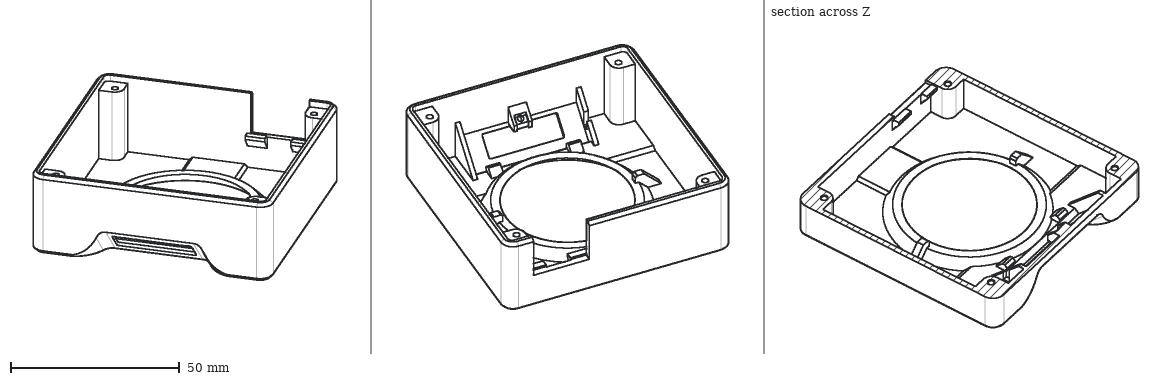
import cadquery as cq
import math

SIDE = 74.0
HEIGHT = 25.5
CORNER_RADIUS = 4.0
EDGE_CHAMFER = 1.0
WALL = 2.0
FLOOR = 1.0
CAVITY_RADIUS = 1.5
HALF = SIDE / 2
INNER_HALF = HALF - WALL

RAISED_FLOOR = 2.0
STEP_TOP_Y = -15.2
STEP_FOOT_Y = -13.8
PAD_TOP_HALF = 8.0
PAD_FOOT_HALF = 9.0

OPENING_RADIUS = 20.0
RING_TOP = 4.0
RING_TOP_RADIUS = 22.8
RING_FOOT_RADIUS = RING_TOP_RADIUS + RING_TOP - FLOOR

POST_SIZE = 6.95
POST_RADIUS = 2.95
POST_DROP = 2.0
POST_TOP = HEIGHT - POST_DROP
SCREW_OFFSET = 30.8
SCREW_DIAMETER = 2.0
SCREW_DEPTH = 11.1

SCOOP_HEIGHT = 6.95
SCOOP_FLAT_HALF = 13.55
SCOOP_SHOULDER = (15.5, 6.45)
SCOOP_BEND = (16.5, 5.3)
SCOOP_FLARE = (19.3, 2.5)
SCOOP_END = (24.0, EDGE_CHAMFER / math.sqrt(2))
SCOOP_LENGTH = 44.4

PANEL_THICKNESS = 1.0
PANEL_TOP = SCOOP_HEIGHT + PANEL_THICKNESS
PANEL_HALF = 19.0
TROUGH_TOP_Y = -24.7
WINDOW_HALF = 12.3
WINDOW_LOW_Z = 2.15
WINDOW_HIGH_Z = 7.6
WINDOW_RADIUS = 0.5

RIB_THICKNESS = 1.5
RIB_END_Y = -22.35
RIB_NOTCH_WIDTH = 2.1
RIB_NOTCH_Y = -28.7
RIB_NOTCH_FLOOR = 4.45

HOLDER_X = 0.3
HOLDER_WIDTH = 5.9
HOLDER_CHEEK = 1.0
HOLDER_END_Y = -30.85
HOLDER_FLOOR_Z = 8.5
HOLDER_END_HEIGHT = 2.2
HOLDER_RECESS_END_Y = -33.0
HOLDER_END_SETBACK = 0.7
HOLDER_RECESS = 1.0
HOLDER_HOLE_DIAMETER = 1.85
HOLDER_HOLE_DEPTH = 2.2
HOLDER_HOLE_Y = -32.55

HOOK_X = 13.1
HOOK_WIDTH = 4.0
HOOK_TOP = 4.3
HOOK_NOSE_Z = 3.3
HOOK_RAMP_Y = -20.95
HOOK_CREST_Y = -23.3
HOOK_EDGE_Y = -24.2
HOOK_NOSE_Y = -25.1

CLIP_WIDTH = 2.2
CLIP_TOP = 6.6
CLIP_NOSE_X = 21.6
CLIP_NOSE_CHAMFER = 0.7
CLIP_CREST_X = 24.5
CLIP_FOOT_X = 30.1

NOTCH_LEFT = 9.9
NOTCH_RIGHT = INNER_HALF - POST_SIZE
NOTCH_FLOOR = 11.8
TAB_SPANS = ((8.9, 15.0), (22.95, NOTCH_RIGHT))
TAB_TOP = 12.35
TAB_HEIGHT = 4.3
TAB_REACH = 2.4
TAB_NOSE = 1.1
TAB_SETBACK = 0.26


def box(x0, x1, y0, y1, z0, z1):
    return cq.Workplane("XY").box(x1 - x0, y1 - y0, z1 - z0, centered=False).translate((x0, y0, z0))


def prism_along_x(points, x0, x1):
    """Extrude a (y, z) outline from x0 to x1."""
    return cq.Workplane("YZ", origin=(x0, 0, 0)).polyline(points).close().extrude(x1 - x0)


def prism_along_y(points, y0, y1):
    """Extrude an (x, z) outline from y0 to y1."""
    return cq.Workplane("XZ", origin=(0, y0, 0)).polyline(points).close().extrude(y0 - y1)


def slope_plane():
    """Plane square to the scoop: local x is X, local y points up and back."""
    return cq.Workplane(cq.Plane(origin=(0, -HALF, 0), xDir=(1, 0, 0), normal=(0, -1, 1)))


def slope_z(y, height):
    """Z of the 45 degree surface lying at a given scoop profile height."""
    return height * math.sqrt(2) - (y + HALF)


TROUGH_FOOT_Y = (slope_z(0, PANEL_TOP) + TROUGH_TOP_Y - RAISED_FLOOR) / 2


def outer_block():
    block = cq.Workplane("XY").rect(SIDE, SIDE).extrude(HEIGHT)
    block = block.edges("|Z").fillet(CORNER_RADIUS)
    return block.faces("<Z or >Z").chamfer(EDGE_CHAMFER)


def cavity():
    inner = cq.Workplane("XY", origin=(0, 0, FLOOR)).rect(2 * INNER_HALF, 2 * INNER_HALF).extrude(HEIGHT)
    return inner.edges("|Z").fillet(CAVITY_RADIUS)


def raised_floor():
    step = [(-INNER_HALF, 0), (STEP_FOOT_Y, 0), (STEP_FOOT_Y, FLOOR), (STEP_TOP_Y, RAISED_FLOOR),
            (-INNER_HALF, RAISED_FLOOR)]
    pad = [(-PAD_FOOT_HALF, FLOOR), (PAD_FOOT_HALF, FLOOR), (PAD_TOP_HALF, RAISED_FLOOR),
           (-PAD_TOP_HALF, RAISED_FLOOR)]
    return prism_along_x(step, -INNER_HALF, INNER_HALF).union(prism_along_y(pad, OPENING_RADIUS, INNER_HALF))


def ring():
    profile = [(0, 0), (RING_FOOT_RADIUS, 0), (RING_FOOT_RADIUS, FLOOR), (RING_TOP_RADIUS, RING_TOP),
               (0, RING_TOP)]
    return cq.Workplane("XZ").polyline(profile).close().revolve(360, (0, 0, 0), (0, 1, 0))


def opening():
    """Cone through the ring, widening downwards at 45 degrees."""
    bottom_radius = OPENING_RADIUS + RING_TOP
    profile = [(0, 0), (bottom_radius, 0), (OPENING_RADIUS, RING_TOP), (0, RING_TOP)]
    return cq.Workplane("XZ").polyline(profile).close().revolve(360, (0, 0, 0), (0, 1, 0))


def post(side_x, side_y):
    inner = INNER_HALF - POST_SIZE
    column = box(inner, INNER_HALF, inner, INNER_HALF, FLOOR, POST_TOP)
    column = column.edges("|Z and <X and <Y").fillet(POST_RADIUS)
    hole = cq.Workplane("XY", origin=(SCREW_OFFSET, SCREW_OFFSET, POST_TOP - SCREW_DEPTH))
    column = column.cut(hole.circle(SCREW_DIAMETER / 2).extrude(SCREW_DEPTH))
    if side_x < 0:
        column = column.mirror("YZ")
    if side_y < 0:
        column = column.mirror("XZ")
    return column


def panel_fill():
    """Solid wedge under the sloping panel and its ribs."""
    front = -INNER_HALF
    panel = [(front, 0), (TROUGH_FOOT_Y, 0), (TROUGH_FOOT_Y, slope_z(TROUGH_FOOT_Y, PANEL_TOP)),
             (front, slope_z(front, PANEL_TOP))]
    rib_rise = RIB_END_Y - front
    rib = [(front, FLOOR), (RIB_END_Y, FLOOR), (RIB_END_Y, RAISED_FLOOR), (front, RAISED_FLOOR + rib_rise)]
    wedge = prism_along_x(panel, -PANEL_HALF, PANEL_HALF)
    for start in (-PANEL_HALF - RIB_THICKNESS, PANEL_HALF):
        wedge = wedge.union(prism_along_x(rib, start, start + RIB_THICKNESS))
    return wedge


def trough():
    """Space above the panel that dips below the raised floor."""
    front = -INNER_HALF
    outline = [(front, slope_z(front, PANEL_TOP)), (TROUGH_FOOT_Y, slope_z(TROUGH_FOOT_Y, PANEL_TOP)),
               (TROUGH_TOP_Y, RAISED_FLOOR), (TROUGH_TOP_Y, HEIGHT), (front, HEIGHT)]
    return prism_along_x(outline, -PANEL_HALF, PANEL_HALF)


def scoop():
    def mirrored(point):
        return (-point[0], point[1])

    profile = (
        slope_plane()
        .moveTo(-SCOOP_FLAT_HALF, SCOOP_HEIGHT)
        .lineTo(SCOOP_FLAT_HALF, SCOOP_HEIGHT)
        .threePointArc(SCOOP_SHOULDER, SCOOP_BEND)
        .threePointArc(SCOOP_FLARE, SCOOP_END)
        .lineTo(SCOOP_END[0], -SCOOP_HEIGHT)
        .lineTo(-SCOOP_END[0], -SCOOP_HEIGHT)
        .lineTo(*mirrored(SCOOP_END))
        .threePointArc(mirrored(SCOOP_FLARE), mirrored(SCOOP_BEND))
        .threePointArc(mirrored(SCOOP_SHOULDER), (-SCOOP_FLAT_HALF, SCOOP_HEIGHT))
        .close()
    )
    return profile.extrude(SCOOP_LENGTH / 2, both=True)


def window():
    """Opening cut square through the sloping panel."""
    center_z = (WINDOW_LOW_Z + WINDOW_HIGH_Z) / 2
    center_y = slope_z(center_z, SCOOP_HEIGHT)
    slope_length = (WINDOW_HIGH_Z - WINDOW_LOW_Z) * math.sqrt(2)
    outline = cq.Sketch().rect(2 * WINDOW_HALF, slope_length).vertices().fillet(WINDOW_RADIUS)
    plane = cq.Plane(origin=(0, center_y, center_z), xDir=(1, 0, 0), normal=(0, 1, 1))
    return cq.Workplane(plane).placeSketch(outline).extrude(PANEL_THICKNESS)


def rib_notch():
    x = -PANEL_HALF
    half = RIB_NOTCH_WIDTH / 2
    return box(x - RIB_THICKNESS, x, RIB_NOTCH_Y - half, RIB_NOTCH_Y + half, RIB_NOTCH_FLOOR, HEIGHT)


def holder_z(y):
    """Z of the holder's 45 degree face."""
    return HOLDER_FLOOR_Z + HOLDER_END_HEIGHT + HOLDER_END_Y - y


def holder():
    """Bracket with a sloping face, recessed between two cheeks."""
    front = -INNER_HALF
    left = HOLDER_X - HOLDER_WIDTH / 2
    right = HOLDER_X + HOLDER_WIDTH / 2
    outline = [(front, HOLDER_FLOOR_Z), (HOLDER_END_Y, HOLDER_FLOOR_Z),
               (HOLDER_END_Y, holder_z(HOLDER_END_Y)), (front, holder_z(front))]
    recess_back = HOLDER_END_Y - HOLDER_END_SETBACK
    recess = [(recess_back, 0), (recess_back, holder_z(recess_back) - HOLDER_RECESS),
              (HOLDER_RECESS_END_Y, holder_z(HOLDER_RECESS_END_Y) - HOLDER_RECESS),
              (HOLDER_RECESS_END_Y, HEIGHT), (0, HEIGHT), (0, 0)]
    cutter = prism_along_x(recess, left + HOLDER_CHEEK, right - HOLDER_CHEEK)
    return prism_along_x(outline, left, right).cut(cutter)


def holder_hole():
    """Blind hole square to the recessed face of the holder."""
    start = (HOLDER_X, HOLDER_HOLE_Y, holder_z(HOLDER_HOLE_Y) - HOLDER_RECESS)
    plane = cq.Plane(origin=start, xDir=(1, 0, 0), normal=(0, -1, -1))
    return cq.Workplane(plane).circle(HOLDER_HOLE_DIAMETER / 2).extrude(HOLDER_HOLE_DEPTH)


def hook(center_x):
    outline = [(HOOK_RAMP_Y, FLOOR), (HOOK_RAMP_Y, RAISED_FLOOR), (HOOK_CREST_Y, HOOK_TOP),
               (HOOK_EDGE_Y, HOOK_TOP), (HOOK_NOSE_Y, HOOK_NOSE_Z), (TROUGH_TOP_Y, RAISED_FLOOR),
               (TROUGH_TOP_Y, FLOOR)]
    return prism_along_x(outline, center_x - HOOK_WIDTH / 2, center_x + HOOK_WIDTH / 2)


def clip(side):
    outline = [(CLIP_NOSE_X, FLOOR), (CLIP_NOSE_X, CLIP_TOP - CLIP_NOSE_CHAMFER),
               (CLIP_NOSE_X + CLIP_NOSE_CHAMFER, CLIP_TOP), (CLIP_CREST_X, CLIP_TOP), (CLIP_FOOT_X, FLOOR)]
    solid = prism_along_y(outline, -CLIP_WIDTH / 2, CLIP_WIDTH / 2)
    return solid if side > 0 else solid.mirror("YZ")


def tab(x0, x1):
    wall = INNER_HALF
    tip = wall - TAB_REACH
    back = wall - TAB_SETBACK
    outline = [(wall, TAB_TOP - TAB_HEIGHT), (wall, NOTCH_FLOOR), (back, NOTCH_FLOOR), (back, TAB_TOP),
               (tip, TAB_TOP), (tip, TAB_TOP - TAB_NOSE)]
    return prism_along_x(outline, x0, x1)


tray = outer_block().cut(cavity()).union(raised_floor()).union(ring())
for sx in (-1, 1):
    for sy in (-1, 1):
        tray = tray.union(post(sx, sy))

tray = tray.cut(trough()).union(panel_fill()).cut(rib_notch())
tray = tray.cut(scoop()).cut(window()).union(holder()).cut(holder_hole())

for sign in (-1, 1):
    tray = tray.union(hook(sign * HOOK_X)).union(clip(sign))
tray = tray.cut(opening())

tray = tray.cut(box(NOTCH_LEFT, NOTCH_RIGHT, INNER_HALF, HALF, NOTCH_FLOOR, HEIGHT))
for x_start, x_end in TAB_SPANS:
    tray = tray.union(tab(x_start, x_end))

result = tray